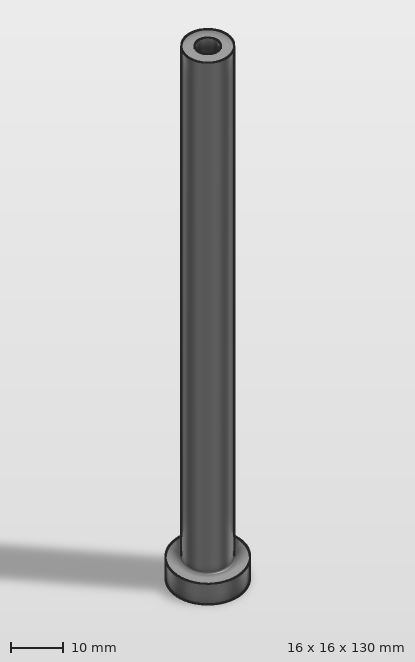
import cadquery as cq

total_length = 130.0
head_diameter = 16.0
head_thickness = 5.1
shaft_diameter = 10.0
bore_diameter = 5.0
neck_fillet = 0.5

head_radius = head_diameter / 2
shaft_radius = shaft_diameter / 2
bore_radius = bore_diameter / 2

half_section = (
    cq.Workplane("XZ")
    .moveTo(bore_radius, 0)
    .lineTo(head_radius, 0)
    .lineTo(head_radius, head_thickness)
    .lineTo(shaft_radius + neck_fillet, head_thickness)
    .radiusArc((shaft_radius, head_thickness + neck_fillet), neck_fillet)
    .lineTo(shaft_radius, total_length)
    .lineTo(bore_radius, total_length)
    .close()
)

result = half_section.revolve(360, (0, 0, 0), (0, 1, 0))